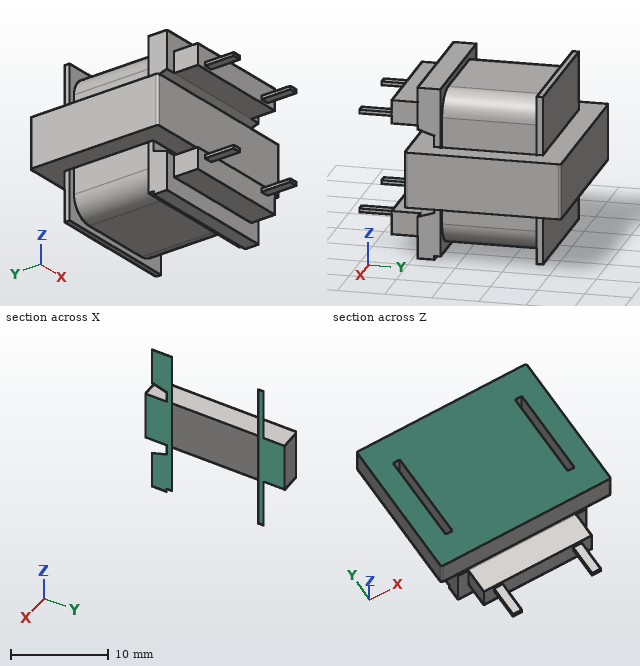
import cadquery as cq

CORE_WIDTH = 20.62
CORE_DEPTH = 16.6
CORE_HEIGHT = 5.97
CORE_LEG = 2.53
CORE_CORNER_RADIUS = 0.25

WINDOW_WIDTH = CORE_WIDTH - 2 * CORE_LEG
WINDOW_FRONT_Y = CORE_LEG - CORE_DEPTH
BACK_FLANGE_THICKNESS = 0.65
WINDING_WIDTH = 14.05
WINDING_HEIGHT = 16.69
WINDING_LENGTH = 10.22
WINDING_RADIUS = 2.58
BOBBIN_TOP_Z = 9.27
FLANGE_BOTTOM_Z = -8.89

RAIL_OVERHANG = 1.76
RAIL_INNER_Z = 4.18
BLOCK_WIDTH = 13.1
BLOCK_LENGTH = 3.05
BLOCK_INNER_Z = 4.75
BLOCK_OUTER_Z = 7.28
PIN_WIDTH = 1.06
PIN_THICKNESS = 0.4
PIN_SPACING = 9.59
PIN_INNER_Z = 5.15
OVERALL_DEPTH = 22.6

back_flange_y = -CORE_LEG
winding_back_y = back_flange_y - BACK_FLANGE_THICKNESS
winding_front_y = winding_back_y - WINDING_LENGTH
rail_front_y = WINDOW_FRONT_Y - RAIL_OVERHANG
block_front_y = rail_front_y - BLOCK_LENGTH
pin_tip_y = -OVERALL_DEPTH

winding_middle_z = (BOBBIN_TOP_Z + FLANGE_BOTTOM_Z) / 2


def box_between(width, back_y, front_y, bottom_z, top_z, center_x=0):
    """Box centred on center_x, spanning the given Y and Z limits."""
    return (
        cq.Workplane("XY")
        .box(width, back_y - front_y, top_z - bottom_z, centered=(True, False, False))
        .translate((center_x, front_y, bottom_z))
    )


def make_core():
    half_height = CORE_HEIGHT / 2
    outer = box_between(CORE_WIDTH, 0, -CORE_DEPTH, -half_height, half_height)
    outer = outer.edges("|Z").fillet(CORE_CORNER_RADIUS)
    window = box_between(WINDOW_WIDTH, back_flange_y, WINDOW_FRONT_Y, -half_height, half_height)
    return outer.cut(window)


def make_bobbin():
    winding_bottom_z = winding_middle_z - WINDING_HEIGHT / 2
    winding_top_z = winding_middle_z + WINDING_HEIGHT / 2
    winding = box_between(WINDING_WIDTH, winding_back_y, winding_front_y, winding_bottom_z, winding_top_z)
    winding = winding.edges("|Y").fillet(WINDING_RADIUS)
    back_flange = box_between(WINDOW_WIDTH, back_flange_y, winding_back_y, FLANGE_BOTTOM_Z, BOBBIN_TOP_Z)
    front_flange = box_between(WINDOW_WIDTH, winding_front_y, WINDOW_FRONT_Y, FLANGE_BOTTOM_Z, BOBBIN_TOP_Z)
    return winding.union(back_flange).union(front_flange)


def make_upper_terminals():
    """Rail with a sloped inner face, overhanging the core, plus its block and pins."""
    rail_profile = [
        (WINDOW_FRONT_Y, RAIL_INNER_Z),
        (WINDOW_FRONT_Y, BOBBIN_TOP_Z),
        (rail_front_y, BOBBIN_TOP_Z),
        (rail_front_y, BLOCK_INNER_Z),
    ]
    terminals = cq.Workplane("YZ").polyline(rail_profile).close().extrude(WINDOW_WIDTH / 2, both=True)
    terminals = terminals.union(
        box_between(BLOCK_WIDTH, rail_front_y, block_front_y, BLOCK_INNER_Z, BLOCK_OUTER_Z)
    )
    pin_outer_z = PIN_INNER_Z + PIN_THICKNESS
    for pin_x in (-PIN_SPACING / 2, PIN_SPACING / 2):
        pin = box_between(PIN_WIDTH, block_front_y, pin_tip_y, PIN_INNER_Z, pin_outer_z, pin_x)
        terminals = terminals.union(pin)
    return terminals


upper_terminals = make_upper_terminals()
lower_terminals = upper_terminals.mirror("XY")
result = make_core().union(make_bobbin()).union(upper_terminals).union(lower_terminals)